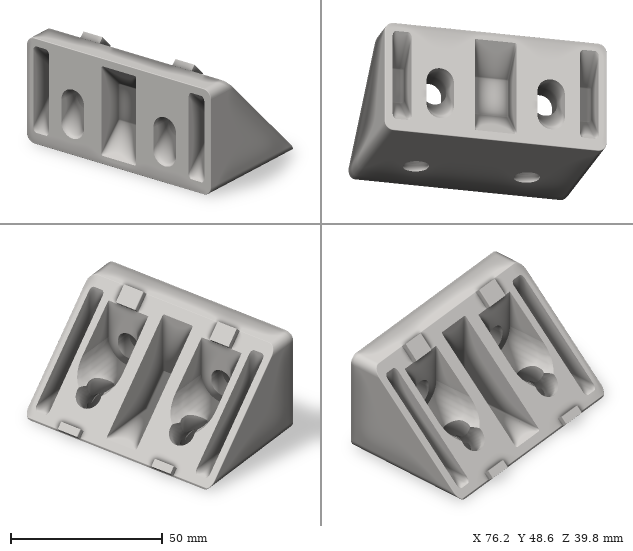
import cadquery as cq
import math

LENGTH = 76.2
HEIGHT = 38.1
DEPTH = 46.8
HYPOTENUSE_SUM = 47.55
CORNER_RADIUS = 3.05
RIM_RADIUS = 0.2

BOLT_X = 19.05
TAB_WIDTH = 7.9
TAB_THICKNESS = 2.4
TAB_EDGE_RADIUS = 0.3
UPPER_TAB_LENGTH = 6.6
LOWER_TAB_LENGTH = 2.8
LOWER_TAB_OVERALL_Y = 48.6

FRONT_MOUTH_WIDTH = 9.4
THROAT_WIDTH = 8.45
FRONT_MOUTH_Z = (5.95, 23.6)
FRONT_THROAT_Z = (13.7, 23.3)
FRONT_THROAT_DEPTH = 7.85
BASE_THROAT_Y = (25.15, 34.6)
LEAN_RADIUS = 4.7
LEAN_BACK_Y = 39.9
LEAN_BORE_DEPTH = 11.5
LEAN_DRAFT = 2.0

TROUGH_RADIUS = 8.15
TROUGH_START_Y = 14.2
TROUGH_AXIS_Z = 18.9
TROUGH_DRAFT = 0.9

FRONT_POCKET_DEPTH = 9.6
FRONT_POCKET_TOP = 35.3
BACK_POCKET_START_Y = 12.4
BACK_POCKET_FLOOR = 2.9
BEND_RADIUS = 0.6
POCKET_DRAFT = 1.0

CENTER_FRONT_WIDTH = 14.3
CENTER_FRONT_BOTTOM = 3.0
CENTER_BACK_WIDTH = 12.2
CENTER_BACK_BEVEL = 9.9
CENTER_EDGE_RADIUS = 0.5

SIDE_FRONT_X = 32.15
SIDE_FRONT_WIDTH = 6.5
SIDE_FRONT_BOTTOM = 4.1
SIDE_BACK_X = 32.7
SIDE_BACK_WIDTH = 5.5
SIDE_BACK_BEVEL = 1.0
SIDE_EDGE_RADIUS = 1.3

OVERCUT = 3.8

OUTERMOST = cq.selectors.DirectionMinMaxSelector(cq.Vector(0, 1, 1))


def prism(points, x_center, width):
    """Extrude a (y, z) outline along X, centred on x_center."""
    start = cq.Workplane("YZ", origin=(x_center - width / 2, 0, 0))
    return start.polyline(points).close().extrude(width)


def make_body():
    outline = [
        (0, 0),
        (DEPTH, 0),
        (DEPTH, HYPOTENUSE_SUM - DEPTH),
        (HYPOTENUSE_SUM - HEIGHT, HEIGHT),
        (0, HEIGHT),
    ]
    rounded_bar = (
        cq.Workplane("XY")
        .box(LENGTH, DEPTH, HEIGHT, centered=(True, False, False))
        .edges("|Y")
        .fillet(CORNER_RADIUS)
    )
    body = rounded_bar.intersect(prism(outline, 0, LENGTH))
    body = body.faces("<Y").edges().fillet(RIM_RADIUS)
    return body.faces(OUTERMOST).edges().fillet(RIM_RADIUS)


def make_tab(side, top_z, length):
    """Tab standing on the sloping face, running down the slope from height top_z."""
    section_plane = cq.Plane(
        origin=(side * BOLT_X, HYPOTENUSE_SUM - top_z, top_z),
        xDir=(-1, 0, 0),
        normal=(0, 1, -1),
    )
    half = TAB_WIDTH / 2
    section = [(-half, 0), (half, 0), (half, TAB_THICKNESS), (-half, TAB_THICKNESS)]
    tab = cq.Workplane(section_plane).polyline(section).close().extrude(length)
    inner_side = "<X" if side > 0 else ">X"
    return tab.faces(inner_side).edges(OUTERMOST).fillet(TAB_EDGE_RADIUS)


def make_front_slot():
    """Slot through the front wall whose floor rises at 45 degrees to the throat."""
    mouth_low, mouth_high = FRONT_MOUTH_Z
    throat_low, throat_high = FRONT_THROAT_Z
    mouth_center = (mouth_low + mouth_high) / 2
    throat_center = (throat_low + throat_high) / 2
    throat_length = throat_high - throat_low
    front = cq.Workplane(cq.Plane(origin=(0, 0, mouth_center), xDir=(0, 0, 1), normal=(0, 1, 0)))
    funnel = (
        front.slot2D(mouth_high - mouth_low, FRONT_MOUTH_WIDTH)
        .workplane(offset=FRONT_THROAT_DEPTH)
        .center(throat_center - mouth_center, 0)
        .slot2D(throat_length, THROAT_WIDTH)
        .loft(ruled=True)
    )
    back = cq.Plane(origin=(0, FRONT_THROAT_DEPTH, throat_center), xDir=(0, 0, 1), normal=(0, 1, 0))
    throat_depth = TROUGH_START_Y - FRONT_THROAT_DEPTH + OVERCUT
    throat = cq.Workplane(back).slot2D(throat_length, THROAT_WIDTH).extrude(throat_depth)
    return funnel.union(throat)


def make_base_slot():
    """Upright slot through the base, joined by a drafted bore square to the sloping face."""
    low, high = BASE_THROAT_Y
    upright = cq.Workplane("XY", origin=(0, (low + high) / 2, 0))
    upright = upright.slot2D(high - low, THROAT_WIDTH, 90).extrude(HYPOTENUSE_SUM - high)

    bore_y = LEAN_BACK_Y - LEAN_RADIUS / math.sqrt(2)
    into_slope = cq.Plane(
        origin=(0, bore_y, HYPOTENUSE_SUM - bore_y), xDir=(1, 0, 0), normal=(0, -1, -1)
    )
    bore = cq.Workplane(into_slope).circle(LEAN_RADIUS).extrude(LEAN_BORE_DEPTH, taper=LEAN_DRAFT)
    return upright.union(bore)


def make_trough():
    """U-shaped bolt head clearance, open upwards and widening towards the back."""
    plane = cq.Plane(origin=(0, TROUGH_START_Y, TROUGH_AXIS_Z), xDir=(-1, 0, 0), normal=(0, 1, 0))
    return (
        cq.Workplane(plane)
        .moveTo(-TROUGH_RADIUS, HEIGHT)
        .lineTo(-TROUGH_RADIUS, 0)
        .threePointArc((0, -TROUGH_RADIUS), (TROUGH_RADIUS, 0))
        .lineTo(TROUGH_RADIUS, HEIGHT)
        .close()
        .extrude(DEPTH, taper=-TROUGH_DRAFT)
    )


def drafted_prism(points, mouth, inwards, width):
    """Prism whose end walls are width apart at the mouth point and close in along inwards."""
    x_center = mouth[0]
    lean = HEIGHT * math.tan(math.radians(POCKET_DRAFT))
    half_outer = width / 2 + lean
    half_inner = width / 2 - lean
    along_mouth = cq.Vector(1, 0, 0).cross(cq.Vector(*inwards))
    plane = cq.Plane(origin=mouth, xDir=(1, 0, 0), normal=along_mouth.toTuple())
    section = [(-half_outer, -HEIGHT), (half_outer, -HEIGHT), (half_inner, HEIGHT), (-half_inner, HEIGHT)]
    wedge = cq.Workplane(plane).polyline(section).close().extrude(LENGTH, both=True)
    return prism(points, x_center, width + OVERCUT).intersect(wedge)


def make_front_pocket(x_center, width, bottom, edge_radius):
    """Pocket in the front face, narrowing at 45 degrees to a flat back wall."""
    back = FRONT_POCKET_DEPTH
    outline = [
        (-OVERCUT, bottom - OVERCUT),
        (back, bottom + back),
        (back, FRONT_POCKET_TOP - back),
        (-OVERCUT, FRONT_POCKET_TOP + OVERCUT),
    ]
    pocket = drafted_prism(outline, (x_center, 0, 0), (0, 1, 0), width)
    pocket = pocket.edges("|X and >Y").fillet(BEND_RADIUS)
    return pocket.faces("<X or >X").edges("not <Y").fillet(edge_radius)


def make_back_pocket(x_center, width, bevel, edge_radius):
    """Pocket from the sloping face down to a level floor, bevelled along its inner edge."""
    start = BACK_POCKET_START_Y
    floor = BACK_POCKET_FLOOR
    reach = HEIGHT + OVERCUT
    outline = [
        (start, reach),
        (start, floor + bevel),
        (start + bevel, floor),
        (DEPTH + OVERCUT, floor),
        (DEPTH + OVERCUT, reach),
    ]
    pocket = drafted_prism(outline, (x_center, 0, HYPOTENUSE_SUM), (0, -1, -1), width)
    return pocket.faces("<X or >X").edges("not (>Y or >Z)").fillet(edge_radius)


def make_bolt_cutter():
    return make_trough().union(make_front_slot()).union(make_base_slot())


def make_side_pockets(side):
    front = make_front_pocket(side * SIDE_FRONT_X, SIDE_FRONT_WIDTH, SIDE_FRONT_BOTTOM, SIDE_EDGE_RADIUS)
    back = make_back_pocket(side * SIDE_BACK_X, SIDE_BACK_WIDTH, SIDE_BACK_BEVEL, SIDE_EDGE_RADIUS)
    return front.union(back)


result = make_body()
result = result.cut(make_front_pocket(0, CENTER_FRONT_WIDTH, CENTER_FRONT_BOTTOM, CENTER_EDGE_RADIUS))
result = result.cut(make_back_pocket(0, CENTER_BACK_WIDTH, CENTER_BACK_BEVEL, CENTER_EDGE_RADIUS))

lower_tab_top_y = LOWER_TAB_OVERALL_Y - (TAB_THICKNESS + LOWER_TAB_LENGTH) / math.sqrt(2)
lower_tab_top_z = HYPOTENUSE_SUM - lower_tab_top_y

for side in (-1, 1):
    result = result.cut(make_bolt_cutter().translate((side * BOLT_X, 0, 0)))
    result = result.cut(make_side_pockets(side))
    result = result.union(make_tab(side, HEIGHT, UPPER_TAB_LENGTH))
    result = result.union(make_tab(side, lower_tab_top_z, LOWER_TAB_LENGTH))

result = result.solids()